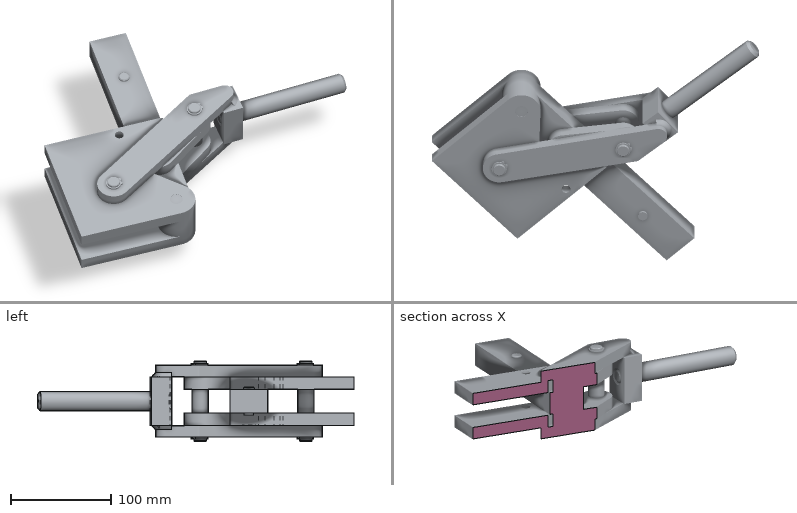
import cadquery as cq
import math


bar_half = 11.5
plate_face = 24.2
arm_face = 36.0
pin_end = 40.0

overall_length = 250.0
plate_left = 125.5
plate_top = 123.5
plate_corner_radius = 3.0
guide_hole = (134.8, 75.0)
guide_hole_radius = 4.5

bar_width = 37.8
bar_radius = bar_width / 2
hinge = (overall_length - bar_radius, plate_top - bar_radius)
hinge_pin_radius = 6.3
hinge_pin_recess = 0.3
notch_back_angle = 135

stud_x = 54.8
stud_height = 2.2
stud_head_radius = 5.5
stud_head_chamfer = 1.0
stud_tail_radius = 4.7

arm_pivot = (203.0, 48.0)
arm_radius = 16.5
link_pivot = (135.0, 153.0)
link_radius = 16.0
link_bar_x = 170.5
link_bar_pivot = (link_bar_x, hinge[1])

pin_radius = 8.2
pin_neck_radius = 6.3
pin_chamfer = 0.5
ring_radius = 7.5
ring_thickness = 1.5
ring_lug_radius = 1.5
ring_lug_spread = 19
link_ring_turn = 19

arm_tip = (122.0, 188.5)
arm_tip_radius = 8.8
arm_elbow_radius = 4.7
grip_tilt = 3
grip_offset = 1.0
block_width = 30.5
block_bottom = -6.5
block_height = 20.0
rod_radius = 9.8
rod_chamfer = 2.5
rod_end_y = 315.0
weld_leg = 4.0
groove_outer_radius = 8.5
groove_inner_radius = 5.0
groove_depth = 1.5


def polar(center, radius, angle):
    """Point at the given angle (degrees) on a circle."""
    a = math.radians(angle)
    return (center[0] + radius * math.cos(a), center[1] + radius * math.sin(a))


def heading(start, end):
    """Direction from start to end, in degrees."""
    return math.degrees(math.atan2(end[1] - start[1], end[0] - start[0]))


def crossing(p, p_angle, q, q_angle):
    """Point where two lines, each given by a point and a direction, meet."""
    px, py = polar((0, 0), 1, p_angle)
    qx, qy = polar((0, 0), 1, q_angle)
    along = ((q[0] - p[0]) * qy - (q[1] - p[1]) * qx) / (px * qy - py * qx)
    return polar(p, along, p_angle)


def slab(outline, bottom, top):
    return outline.extrude(top - bottom).translate((0, 0, bottom))


def cylinder(center, radius, bottom, top):
    return slab(cq.Workplane("XY").center(*center).circle(radius), bottom, top)


def with_mirror(body):
    return body.union(body.mirror("XY"))


link_direction = heading(link_pivot, link_bar_pivot)
link_left = link_direction - 90

arm_direction = heading(arm_pivot, link_pivot)
arm_left = arm_direction + 90

tip_distance = math.dist(arm_pivot, arm_tip)
edge_swing = math.degrees(math.acos((arm_radius - arm_tip_radius) / tip_distance))
arm_right = heading(arm_pivot, arm_tip) - edge_swing
tip_left = 180 + grip_tilt


def side_plate():
    notch_side = polar(link_pivot, link_radius, link_left)
    notch_back = polar(hinge, bar_radius, notch_back_angle)
    notch_start = crossing(notch_side, link_direction, (plate_left, plate_top), 0)
    notch_bottom = crossing(notch_side, link_direction, notch_back, notch_back_angle + 90)
    outline = (
        cq.Workplane("XY")
        .moveTo(plate_left, 0)
        .lineTo(overall_length, 0)
        .lineTo(overall_length, hinge[1])
        .threePointArc(polar(hinge, bar_radius, notch_back_angle / 2), notch_back)
        .lineTo(*notch_bottom)
        .lineTo(*notch_start)
        .lineTo(plate_left, plate_top)
        .close()
    )
    corner = cq.selectors.NearestToPointSelector((plate_left, plate_top, (bar_half + plate_face) / 2))
    plate = slab(outline, bar_half, plate_face).edges(corner).fillet(plate_corner_radius)
    plate = plate.cut(cylinder(guide_hole, guide_hole_radius, bar_half, plate_face))
    return plate.cut(cylinder(hinge, hinge_pin_radius, plate_face - hinge_pin_recess, plate_face))


def clamping_bar():
    outline = (
        cq.Workplane("XY")
        .moveTo(0, plate_top - bar_width)
        .lineTo(hinge[0], plate_top - bar_width)
        .threePointArc((overall_length, hinge[1]), (hinge[0], plate_top))
        .lineTo(0, plate_top)
        .close()
    )
    stud = (stud_x, hinge[1])
    stud_top = bar_half + stud_height
    head = cylinder(stud, stud_head_radius, bar_half, stud_top).faces(">Z").chamfer(stud_head_chamfer)
    tail = cylinder(stud, stud_tail_radius, -stud_top, -bar_half)
    return slab(outline, -bar_half, bar_half).union(head).union(tail)


def inner_link():
    right = link_direction + 90
    outline = (
        cq.Workplane("XY")
        .moveTo(*polar(link_pivot, link_radius, link_left))
        .lineTo(*polar(link_bar_pivot, link_radius, link_left))
        .threePointArc(
            polar(link_bar_pivot, link_radius, link_direction),
            polar(link_bar_pivot, link_radius, right),
        )
        .lineTo(*polar(link_pivot, link_radius, right))
        .threePointArc(
            polar(link_pivot, link_radius, link_direction + 180),
            polar(link_pivot, link_radius, link_left),
        )
        .close()
    )
    return slab(outline, bar_half, plate_face)


def lever_arm():
    tip_side = polar(arm_tip, arm_tip_radius, tip_left)
    pivot_side = polar(arm_pivot, arm_radius, arm_left)
    elbow = crossing(tip_side, 90 + grip_tilt, pivot_side, arm_direction)
    outline = (
        cq.Workplane("XY")
        .moveTo(*polar(arm_pivot, arm_radius, arm_right))
        .lineTo(*polar(arm_tip, arm_tip_radius, arm_right))
        .threePointArc(polar(arm_tip, arm_tip_radius, (arm_right + tip_left) / 2), tip_side)
        .lineTo(*elbow)
        .lineTo(*pivot_side)
        .threePointArc(
            polar(arm_pivot, arm_radius, arm_direction + 180),
            polar(arm_pivot, arm_radius, arm_right),
        )
        .close()
    )
    elbow_edge = cq.selectors.NearestToPointSelector((*elbow, (plate_face + arm_face) / 2))
    return slab(outline, plate_face, arm_face).edges(elbow_edge).fillet(arm_elbow_radius)


def half_pin(center, ring_turn):
    """Upper half of a pivot pin, with its retaining ring and the ring's two lugs."""
    shank = cylinder(center, pin_radius, 0, arm_face)
    neck = cylinder(center, pin_neck_radius, arm_face, pin_end).faces(">Z").chamfer(pin_chamfer)
    ring_top = arm_face + ring_thickness
    pin = shank.union(neck).union(cylinder(center, ring_radius, arm_face, ring_top))
    for side in (-1, 1):
        lug = polar(center, ring_radius, 90 + ring_turn + side * ring_lug_spread)
        pin = pin.union(cylinder(lug, ring_lug_radius, arm_face, ring_top))
    return pin


def weld_bead():
    """Bead between the block and the arm tip: round the tip, then down its left edge."""
    toe = arm_tip_radius + weld_leg
    crest = plate_face + weld_leg
    section = [(arm_tip_radius, plate_face), (toe, plate_face), (arm_tip_radius, crest)]
    start = arm_right - grip_tilt
    around = (
        cq.Workplane("XZ")
        .polyline(section)
        .close()
        .revolve(180 - start, (0, 0, 0), (0, -1, 0))
        .rotate((0, 0, 0), (0, 0, 1), 180)
    )
    straight = (
        cq.Workplane("XZ")
        .polyline([(-u, z) for u, z in section])
        .close()
        .extrude(-block_bottom)
    )
    return around.union(straight)


def rod_groove():
    """V groove in the block's lower face, round the rod's axis."""
    groove_middle = (groove_inner_radius + groove_outer_radius) / 2
    return (
        cq.Workplane("XY")
        .moveTo(groove_inner_radius, block_bottom)
        .lineTo(groove_outer_radius, block_bottom)
        .lineTo(groove_middle, block_bottom + groove_depth)
        .close()
        .revolve(360, (0, 0, 0), (0, 1, 0))
    )


def grip():
    tilt = math.radians(grip_tilt)
    rim_offset = rod_radius - rod_chamfer + grip_offset
    rod_end = (rod_end_y - arm_tip[1] - rim_offset * math.sin(tilt)) / math.cos(tilt)

    block_middle = block_bottom + block_height / 2
    block = (
        cq.Workplane("XY")
        .box(block_width, block_height, 2 * plate_face)
        .translate((0, block_middle, 0))
    )
    rod = (
        cq.Workplane("XZ")
        .circle(rod_radius)
        .extrude(-rod_end)
        .faces(">Y")
        .chamfer(rod_chamfer)
    )
    handle = block.union(rod).cut(rod_groove()).translate((grip_offset, 0, 0))
    body = handle.union(with_mirror(weld_bead()))
    return body.rotate((0, 0, 0), (0, 0, 1), grip_tilt).translate((*arm_tip, 0))


result = clamping_bar().union(grip())
for half in (
    side_plate(),
    inner_link(),
    lever_arm(),
    half_pin(arm_pivot, 0),
    half_pin(link_pivot, link_ring_turn),
):
    result = result.union(with_mirror(half))